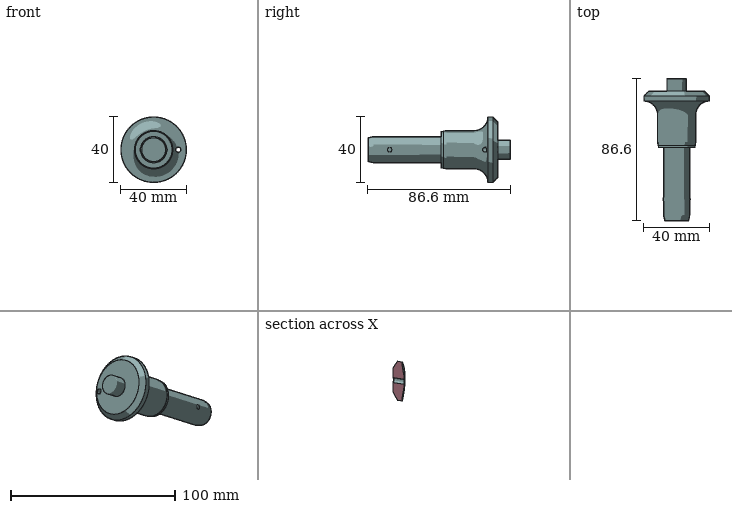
import cadquery as cq
import math


shank_radius = 8.0
shank_length = 44.5
tip_taper_length = 3.4
tip_radius = 7.25
tip_bulge = 0.1

collar_radius = 11.2
collar_length = 1.5
body_radius = 11.7
body_taper_length = 1.9
body_taper_radius = 11.4
flange_radius = 20.0
flare_radius = flange_radius - body_radius
flare_start = 20.1
rim_start = flare_start + flare_radius
rim_width = 3.1
flange_bevel = 3.0
flange_back = rim_start + rim_width + flange_bevel

overall_length = 86.6
button_radius = 5.9
button_end = overall_length - shank_length
button_rounding = 0.25

ball_radius = 2.85
ball_projection = 0.3
ball_offset = shank_radius + ball_projection - ball_radius
ball_position = -31.35
lanyard_hole_diameter = 3.0
lanyard_hole_offset = 15.0


def make_turned_body():
    """Revolve the half profile (X = radius) of shank, handle and button about Y."""
    flare_mid_reach = flare_radius * (1 - math.sqrt(0.5))
    flare_mid = (body_radius + flare_mid_reach, rim_start - flare_mid_reach)
    tip_mid = (
        (tip_radius + shank_radius) / 2 + tip_bulge,
        -shank_length + tip_taper_length / 2,
    )
    profile = (
        cq.Workplane("XY")
        .moveTo(0, -shank_length)
        .lineTo(tip_radius, -shank_length)
        .threePointArc(tip_mid, (shank_radius, -shank_length + tip_taper_length))
        .lineTo(shank_radius, 0)
        .lineTo(collar_radius, 0)
        .lineTo(collar_radius, collar_length)
        .lineTo(body_taper_radius, collar_length)
        .lineTo(body_radius, collar_length + body_taper_length)
        .lineTo(body_radius, flare_start)
        .threePointArc(flare_mid, (flange_radius, rim_start))
        .lineTo(flange_radius, rim_start + rim_width)
        .lineTo(flange_radius - flange_bevel, flange_back)
        .lineTo(button_radius, flange_back)
        .lineTo(button_radius, button_end - button_rounding)
        .radiusArc((button_radius - button_rounding, button_end), -button_rounding)
        .lineTo(0, button_end)
        .close()
    )
    return profile.revolve(360, (0, 0, 0), (0, 1, 0))


def make_locking_ball(side):
    """Ball protruding from the shank on the +X (side = 1) or -X (side = -1) flank."""
    return cq.Workplane("XY").sphere(ball_radius).translate((side * ball_offset, ball_position, 0))


def make_lanyard_hole():
    """Cutter parallel to Y that passes through the flange."""
    return (
        cq.Workplane("XZ", origin=(lanyard_hole_offset, flange_back, 0))
        .circle(lanyard_hole_diameter / 2)
        .extrude(flange_back)
    )


result = make_turned_body()
for side in (1, -1):
    result = result.union(make_locking_ball(side))
result = result.cut(make_lanyard_hole())